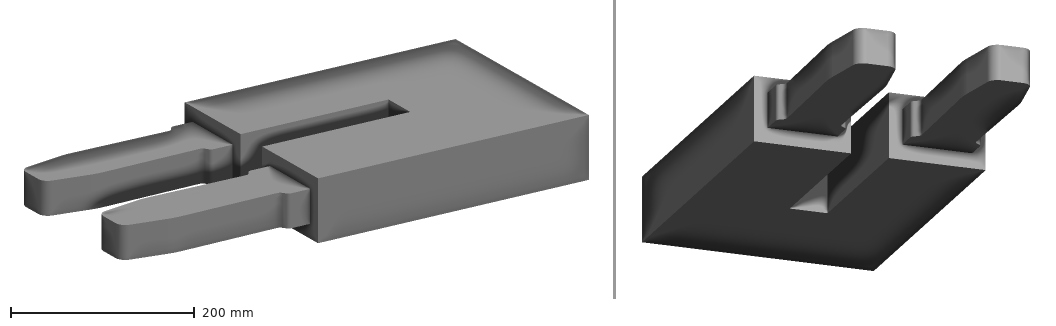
import cadquery as cq

total_length = 584.0
body_width = 269.5
body_thickness = 76.0

body_length = 350.5
slot_width = 44.0
slot_depth = 191.5

pin_length = total_length - body_length
pin_thickness = 41.0
shoulder_width = 81.0
waist_width = 63.0
shaft_width = 67.0
tip_width = 45.5
shoulder_end = 27.5
waist_start = 34.0
taper_start = 170.5

shoulder_radius = 6.0
taper_radius = 87.5
tip_radius = 12.0

back_y = total_length / 2
body_front_y = back_y - body_length
leg_width = (body_width - slot_width) / 2
pin_offset = (slot_width + leg_width) / 2


def make_body():
    """U-shaped block with an open slot through its front face."""
    block = cq.Workplane("XY").box(body_width, body_length, body_thickness)
    slot = (
        cq.Workplane("XY")
        .box(slot_width, slot_depth, body_thickness)
        .translate((0, (slot_depth - body_length) / 2, 0))
    )
    return block.cut(slot).translate((0, back_y - body_length / 2, 0))


def make_pin():
    """Symmetric flat pin starting at Y = 0 and pointing along -Y."""
    right_side = [
        (shoulder_width / 2, 0),
        (shoulder_width / 2, -shoulder_end),
        (waist_width / 2, -waist_start),
        (shaft_width / 2, -taper_start),
        (tip_width / 2, -pin_length),
    ]
    left_side = [(-x, y) for x, y in reversed(right_side)]
    pin = (
        cq.Workplane("XY")
        .polyline(right_side + left_side)
        .close()
        .extrude(pin_thickness / 2, both=True)
    )
    roundings = [
        (shoulder_end, waist_start, shoulder_radius),
        (taper_start, taper_start, taper_radius),
        (pin_length, pin_length, tip_radius),
    ]
    margin = 0.5
    for nearest, farthest, radius in roundings:
        edge_zone = cq.selectors.BoxSelector(
            (-body_width, -farthest - margin, -body_thickness),
            (body_width, -nearest + margin, body_thickness),
        )
        pin = pin.edges("|Z").edges(edge_zone).fillet(radius)
    return pin


result = make_body()
for side in (-1, 1):
    result = result.union(make_pin().translate((side * pin_offset, body_front_y, 0)))